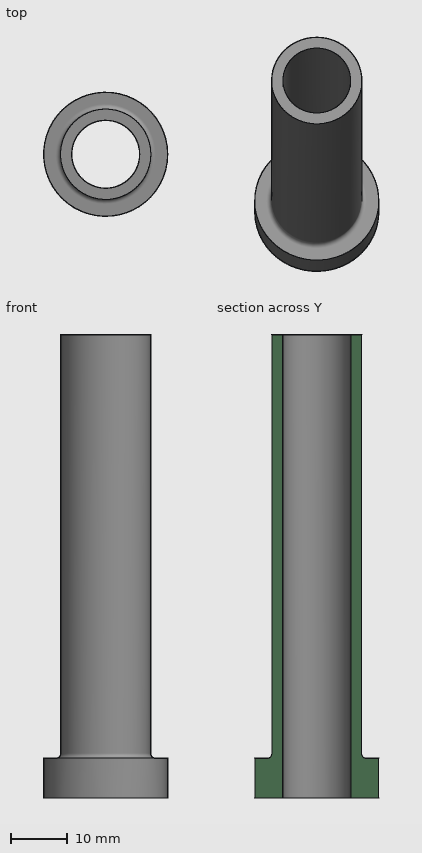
import cadquery as cq

total_height = 82.0
flange_diameter = 22.0
flange_height = 7.05
tube_diameter = 16.0
bore_diameter = 12.0
root_fillet_radius = 0.8

flange = cq.Workplane("XY").circle(flange_diameter / 2).extrude(flange_height)
tube = cq.Workplane("XY").circle(tube_diameter / 2).extrude(total_height)
body = flange.union(tube)

root_edge = cq.selectors.RadiusNthSelector(0)
body = body.faces("<Z[1]").edges(root_edge).fillet(root_fillet_radius)

bore = cq.Workplane("XY").circle(bore_diameter / 2).extrude(total_height)
result = body.cut(bore)